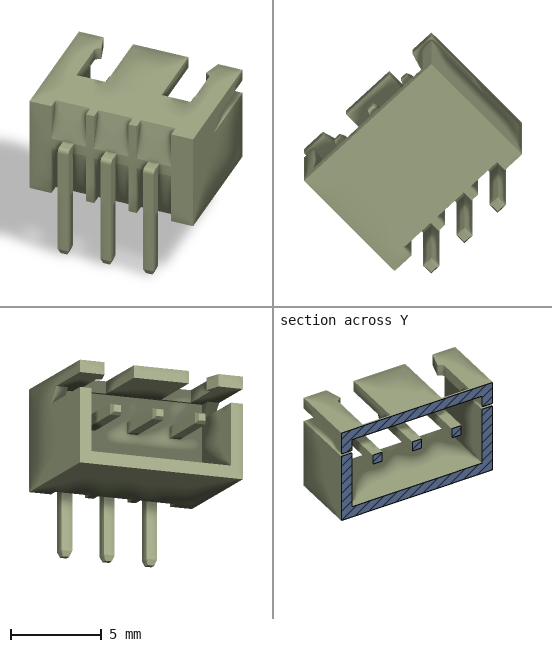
import cadquery as cq


HOUSING_WIDTH = 9.75
HOUSING_DEPTH = 7.23
HOUSING_HEIGHT = 5.85
SIDE_WALL = 0.7
TOP_WALL = 0.71
BOTTOM_WALL = TOP_WALL

SIDE_SLOT_HEIGHT = 0.84
SIDE_SLOT_TOP_LENGTH = 3.36
SIDE_SLOT_BOTTOM_LENGTH = 4.14
CAVITY_DEPTH = SIDE_SLOT_BOTTOM_LENGTH

TONGUE_WIDTH = 3.3
LATCH_SLOT_WIDTH = 1.77
LATCH_SLOT_LENGTH = 3.93
BARB_HEIGHT = 0.3
BARB_PEAK_FROM_MOUTH = 1.02
BARB_END_FROM_MOUTH = 1.22

PIN_COUNT = 3
PIN_PITCH = 2.54
PIN_SIZE = 0.64
PIN_TOP_BELOW_ROOF = 2.17
PIN_TIP_BEHIND_MOUTH = 0.21
PIN_OVERHANG = 0.81
PIN_TAIL_BELOW_HOUSING = 3.37
PIN_TIP_LENGTH = 0.32
PIN_TIP_WIDTH = 0.4
BEND_OUTER_RADIUS = 0.25
BEND_INNER_RADIUS = 0.1

POCKET_WIDTH = 2.05
POCKET_DEPTH = 0.63

MOUTH_Y = HOUSING_DEPTH
CEILING_Z = HOUSING_HEIGHT - TOP_WALL
PIN_TOP_Z = HOUSING_HEIGHT - PIN_TOP_BELOW_ROOF
PIN_BOTTOM_Z = PIN_TOP_Z - PIN_SIZE
PIN_POSITIONS = [(index - (PIN_COUNT - 1) / 2) * PIN_PITCH for index in range(PIN_COUNT)]


def extrude_across(yz_points, width, center_x=0):
    """Prism with a YZ outline, centred on center_x."""
    outline = cq.Workplane("YZ").polyline(yz_points).close()
    return outline.extrude(width / 2, both=True).translate((center_x, 0, 0))


def make_cavity():
    width = HOUSING_WIDTH - 2 * SIDE_WALL
    height = CEILING_Z - BOTTOM_WALL
    cavity = cq.Workplane("XY").box(width, CAVITY_DEPTH, height, centered=(True, False, False))
    return cavity.translate((0, MOUTH_Y - CAVITY_DEPTH, BOTTOM_WALL))


def make_side_slots():
    slot_bottom_z = CEILING_Z - SIDE_SLOT_HEIGHT
    outline = [
        (MOUTH_Y, CEILING_Z),
        (MOUTH_Y - SIDE_SLOT_TOP_LENGTH, CEILING_Z),
        (MOUTH_Y - SIDE_SLOT_BOTTOM_LENGTH, slot_bottom_z),
        (MOUTH_Y, slot_bottom_z),
    ]
    return extrude_across(outline, HOUSING_WIDTH)


def make_latch_slot():
    """Slot on the +X side; its outer edge carries the latch barb."""
    inner_x = TONGUE_WIDTH / 2
    outer_x = inner_x + LATCH_SLOT_WIDTH
    end_y = MOUTH_Y - LATCH_SLOT_LENGTH
    outline = [
        (inner_x, MOUTH_Y),
        (inner_x, end_y),
        (outer_x, end_y),
        (outer_x, MOUTH_Y - BARB_END_FROM_MOUTH),
        (outer_x - BARB_HEIGHT, MOUTH_Y - BARB_PEAK_FROM_MOUTH),
        (outer_x, MOUTH_Y),
    ]
    return cq.Workplane("XY").workplane(offset=CEILING_Z).polyline(outline).close().extrude(TOP_WALL)


def make_rear_pocket(center_x, shallow_z, deep_z):
    """Wedge that starts flush at shallow_z and reaches full depth at deep_z."""
    outline = [(0, shallow_z), (0, deep_z), (POCKET_DEPTH, deep_z)]
    return extrude_across(outline, POCKET_WIDTH, center_x)


def make_housing():
    block = cq.Workplane("XY").box(
        HOUSING_WIDTH, HOUSING_DEPTH, HOUSING_HEIGHT, centered=(True, False, False)
    )
    latch_slot = make_latch_slot()
    housing = block.cut(make_cavity()).cut(make_side_slots())
    housing = housing.cut(latch_slot).cut(latch_slot.mirror("YZ"))
    for pin_x in PIN_POSITIONS:
        housing = housing.cut(make_rear_pocket(pin_x, PIN_TOP_Z, HOUSING_HEIGHT))
        housing = housing.cut(make_rear_pocket(pin_x, PIN_BOTTOM_Z, 0))
    return housing


def add_tapered_tip(pin, end_face):
    """Square frustum grown from the end face of a pin leg."""
    base = pin.faces(end_face).workplane(centerOption="CenterOfMass").rect(PIN_SIZE, PIN_SIZE)
    tip_plane = base.workplane(offset=PIN_TIP_LENGTH)
    return tip_plane.rect(PIN_TIP_WIDTH, PIN_TIP_WIDTH).loft(combine=True)


def make_pin(center_x):
    outer_y = -PIN_OVERHANG
    inner_y = outer_y + PIN_SIZE
    front_y = MOUTH_Y - PIN_TIP_BEHIND_MOUTH - PIN_TIP_LENGTH
    tail_z = PIN_TIP_LENGTH - PIN_TAIL_BELOW_HOUSING
    outline = [
        (front_y, PIN_TOP_Z),
        (outer_y, PIN_TOP_Z),
        (outer_y, tail_z),
        (inner_y, tail_z),
        (inner_y, PIN_BOTTOM_Z),
        (front_y, PIN_BOTTOM_Z),
    ]
    pin = extrude_across(outline, PIN_SIZE)
    outer_bend = cq.selectors.NearestToPointSelector((0, outer_y, PIN_TOP_Z))
    inner_bend = cq.selectors.NearestToPointSelector((0, inner_y, PIN_BOTTOM_Z))
    pin = pin.edges(outer_bend).fillet(BEND_OUTER_RADIUS)
    pin = pin.edges(inner_bend).fillet(BEND_INNER_RADIUS)
    pin = add_tapered_tip(pin, ">Y")
    pin = add_tapered_tip(pin, "<Z")
    return pin.translate((center_x, 0, 0))


result = make_housing()
for pin_position in PIN_POSITIONS:
    result = result.union(make_pin(pin_position))